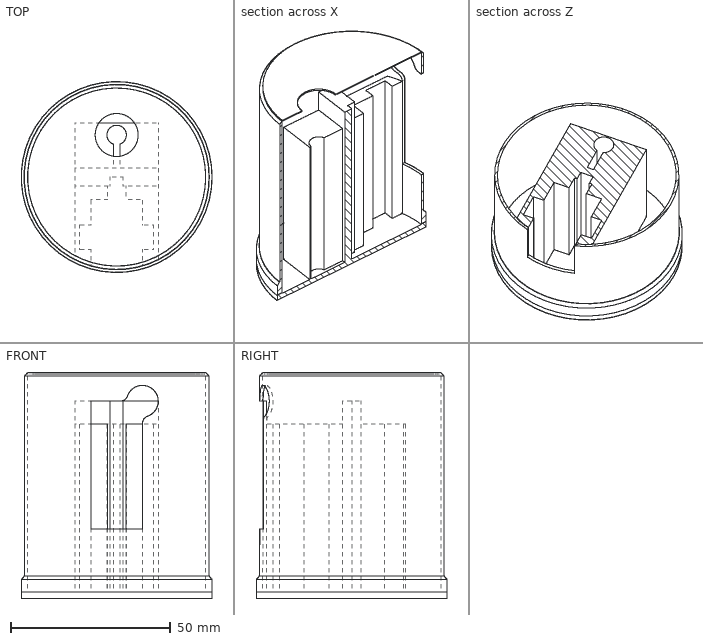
import cadquery as cq
import math

flange_diameter = 60.0
flange_radius = flange_diameter / 2
base_thickness = 2.05

total_height = 71.0
body_diameter = 58.0
body_radius = body_diameter / 2
cavity_radius = 28.0
lid_thickness = 0.5
top_chamfer = 1.1
flange_top = 5.95
flange_bevel_top = 7.0
flange_bevel_diameter = 58.2
flange_bevel_radius = flange_bevel_diameter / 2
lid_hole_radius = 6.75
lid_hole_y = 13.2

window_half_width = 8.1
window_bottom = 21.9
window_top = 62.0
lobe_radius = 5.0
lobe_fillet = 2.5

core_half_width = 13.05
core_back = 16.9
core_top = 54.8
ridge_top = window_top
ridge_front = -2.85
ridge_back = 2.85

channel_wide_half_width = 11.65
channel_wide_front = -22.7
channel_wide_back = -15.0
channel_back = -7.1
outer_groove_half_width = 2.9
inner_groove_half_width = 2.05
inner_groove_back = 0.0

keyhole_radius = 3.05
keyhole_slot_half_width = 1.0


def box(half_width, y_front, y_back, z_bottom, z_top):
    """Box centred on X = 0 between the given Y and Z limits."""
    return (
        cq.Workplane("XY", origin=(0, (y_front + y_back) / 2, z_bottom))
        .rect(2 * half_width, y_back - y_front)
        .extrude(z_top - z_bottom)
    )


def cylinder(radius, z_bottom, z_top, y=0.0):
    """Upright cylinder on the X = 0 plane."""
    return cq.Workplane("XY", origin=(0, y, z_bottom)).circle(radius).extrude(z_top - z_bottom)


def window_cutter():
    """Prism along Y with the window outline, reaching from the axis through the front wall."""
    corner_x, corner_z = window_half_width, window_top
    centre_distance = lobe_radius + lobe_fillet
    reach = math.sqrt(centre_distance**2 - lobe_fillet**2)
    join_along = reach * lobe_radius / centre_distance
    join_across = lobe_fillet * lobe_radius / centre_distance
    half_sweep = math.acos(lobe_fillet / centre_distance) / 2
    mid_along = reach - lobe_fillet * math.sin(half_sweep)
    mid_across = lobe_fillet * (1 - math.cos(half_sweep))
    lobe_diagonal = lobe_radius / math.sqrt(2)
    return (
        cq.Workplane("XZ")
        .moveTo(-window_half_width, window_bottom)
        .lineTo(-window_half_width, window_top)
        .lineTo(corner_x - reach, corner_z)
        .threePointArc(
            (corner_x - mid_along, corner_z + mid_across),
            (corner_x - join_along, corner_z + join_across),
        )
        .threePointArc(
            (corner_x + lobe_diagonal, corner_z + lobe_diagonal),
            (corner_x + join_across, corner_z - join_along),
        )
        .threePointArc(
            (corner_x + mid_across, corner_z - mid_along),
            (corner_x, corner_z - reach),
        )
        .lineTo(window_half_width, window_bottom)
        .close()
        .extrude(flange_radius)
    )


def make_housing():
    """Turned can with a flanged foot, a hole in the lid and the front window."""
    housing = (
        cq.Workplane("XZ")
        .moveTo(cavity_radius, base_thickness)
        .lineTo(flange_radius, base_thickness)
        .lineTo(flange_radius, flange_top)
        .lineTo(flange_bevel_radius, flange_bevel_top)
        .lineTo(body_radius, flange_bevel_top)
        .lineTo(body_radius, total_height - top_chamfer)
        .lineTo(body_radius - top_chamfer, total_height)
        .lineTo(0, total_height)
        .lineTo(0, total_height - lid_thickness)
        .lineTo(cavity_radius, total_height - lid_thickness)
        .close()
        .revolve(360, (0, 0, 0), (0, 1, 0))
    )
    lid_hole = cylinder(lid_hole_radius, total_height - lid_thickness, total_height, lid_hole_y)
    return housing.cut(lid_hole).cut(window_cutter())


def make_core_block():
    """Block with a raised cross ridge, its front rounded to fit the housing cavity."""
    block = box(core_half_width, -cavity_radius, core_back, base_thickness, core_top)
    ridge = box(core_half_width, ridge_front, ridge_back, core_top, ridge_top)
    return block.union(ridge).intersect(cylinder(cavity_radius, base_thickness, ridge_top))


def cut_channel(core):
    """Stepped channel behind the window: neck, wide chamber, neck, then two narrowing grooves."""
    steps = [
        (window_half_width, -cavity_radius, channel_back),
        (channel_wide_half_width, channel_wide_front, channel_wide_back),
        (outer_groove_half_width, channel_back, ridge_front),
        (inner_groove_half_width, ridge_front, inner_groove_back),
    ]
    for half_width, y_front, y_back in steps:
        core = core.cut(box(half_width, y_front, y_back, base_thickness, ridge_top))
    return core


def cut_keyhole(core):
    """Round hole with a slot running forward to the ridge."""
    round_hole = cylinder(keyhole_radius, base_thickness, core_top, lid_hole_y)
    slot = box(keyhole_slot_half_width, ridge_back, lid_hole_y, base_thickness, core_top)
    return core.cut(round_hole).cut(slot)


def make_base():
    """Base plate with the channelled core standing on it, as one solid."""
    core = cut_keyhole(cut_channel(make_core_block()))
    return cylinder(flange_radius, 0, base_thickness).union(core)


housing = make_housing()
base = make_base()

result = cq.Compound.makeCompound([housing.val(), base.val()])